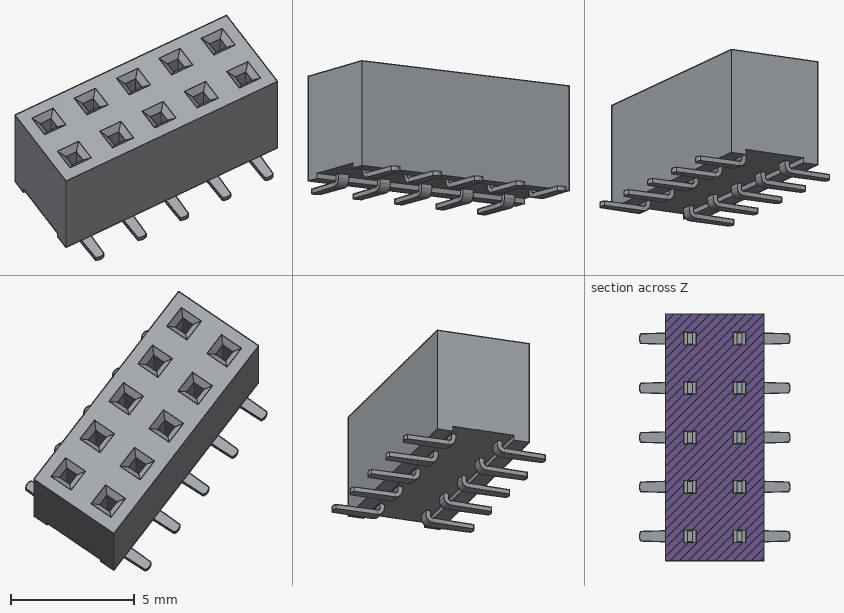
import cadquery as cq
import math

ROWS = 5
PITCH = 2.0

HOUSING_LENGTH = ROWS * PITCH
HOUSING_WIDTH = 2 * PITCH
TOP_Z = 4.6
STANDOFF = 0.28
RAIL_WIDTH = 0.67
RECESS_DEPTH = 0.21
RECESS_WIDTH = HOUSING_WIDTH - 2 * RAIL_WIDTH
RECESS_Z = STANDOFF + RECESS_DEPTH

MOUTH_SIZE = 1.0
HOLE_SIZE = MOUTH_SIZE / 2
FUNNEL_DEPTH = (MOUTH_SIZE - HOLE_SIZE) / 2
HOLE_DEPTH = 3.0
HOLE_FLOOR_Z = TOP_Z - HOLE_DEPTH

LEAD_SPAN = 6.1
LEAD_THICKNESS = 0.19
LEAD_WIDTH = 0.5
TIP_WIDTH = 0.4
TIP_BULGE = 0.06
INNER_BEND = 0.12
OUTER_BEND = INNER_BEND + LEAD_THICKNESS

CONTACT_WIDTH = 0.44
CONTACT_HEIGHT = 1.0

COLUMN_X = PITCH / 2
ROW_YS = [(row - (ROWS - 1) / 2) * PITCH for row in range(ROWS)]
SOCKET_CENTERS = [(x, y) for x in (-COLUMN_X, COLUMN_X) for y in ROW_YS]


def make_housing():
    """Block with a recess along the underside, leaving a rail on each side."""
    block = cq.Workplane("XY", origin=(0, 0, STANDOFF)).rect(HOUSING_WIDTH, HOUSING_LENGTH)
    block = block.extrude(TOP_Z - STANDOFF)
    recess = cq.Workplane("XY", origin=(0, 0, STANDOFF)).rect(RECESS_WIDTH, HOUSING_LENGTH)
    return block.cut(recess.extrude(RECESS_DEPTH))


def make_socket():
    """Solid to remove for one socket, centred on the Z axis."""
    hole = cq.Workplane("XY", origin=(0, 0, HOLE_FLOOR_Z)).rect(HOLE_SIZE, HOLE_SIZE)
    hole = hole.extrude(HOLE_DEPTH)
    funnel = (
        cq.Workplane("XY", origin=(0, 0, TOP_Z - FUNNEL_DEPTH))
        .rect(HOLE_SIZE, HOLE_SIZE)
        .workplane(offset=FUNNEL_DEPTH)
        .rect(MOUTH_SIZE, MOUTH_SIZE)
        .loft(ruled=True)
    )
    return hole.union(funnel)


def make_contact():
    """Contact blade, centred on the Z axis."""
    blade = cq.Workplane("XY", origin=(0, 0, HOLE_FLOOR_Z)).rect(LEAD_THICKNESS, CONTACT_WIDTH)
    return blade.extrude(CONTACT_HEIGHT)


def make_lead():
    """One lead of the +X column, at Y = 0."""
    tip_x = LEAD_SPAN / 2
    inner_x = COLUMN_X - LEAD_THICKNESS / 2
    outer_x = COLUMN_X + LEAD_THICKNESS / 2
    bend_x = inner_x + OUTER_BEND
    bend_z = OUTER_BEND
    diagonal = math.sqrt(0.5)

    strip = (
        cq.Workplane("XZ")
        .moveTo(tip_x, 0)
        .lineTo(bend_x, 0)
        .threePointArc(
            (bend_x - OUTER_BEND * diagonal, bend_z - OUTER_BEND * diagonal),
            (inner_x, bend_z),
        )
        .lineTo(inner_x, RECESS_Z)
        .lineTo(outer_x, RECESS_Z)
        .lineTo(outer_x, bend_z)
        .threePointArc(
            (bend_x - INNER_BEND * diagonal, bend_z - INNER_BEND * diagonal),
            (bend_x, LEAD_THICKNESS),
        )
        .lineTo(tip_x, LEAD_THICKNESS)
        .close()
        .extrude(LEAD_WIDTH / 2, both=True)
    )
    plan = (
        cq.Workplane("XY")
        .moveTo(inner_x, -LEAD_WIDTH / 2)
        .lineTo(bend_x, -LEAD_WIDTH / 2)
        .lineTo(tip_x - TIP_BULGE, -TIP_WIDTH / 2)
        .threePointArc((tip_x, 0), (tip_x - TIP_BULGE, TIP_WIDTH / 2))
        .lineTo(bend_x, LEAD_WIDTH / 2)
        .lineTo(inner_x, LEAD_WIDTH / 2)
        .close()
        .extrude(RECESS_Z)
    )
    return strip.intersect(plan)


result = make_housing()

socket = make_socket()
contact = make_contact()
for x, y in SOCKET_CENTERS:
    result = result.cut(socket.translate((x, y, 0)))
    result = result.union(contact.translate((x, y, 0)))

right_lead = make_lead()
left_lead = right_lead.mirror("YZ")
for y in ROW_YS:
    for lead in (left_lead, right_lead):
        result = result.union(lead.translate((0, y, 0)))